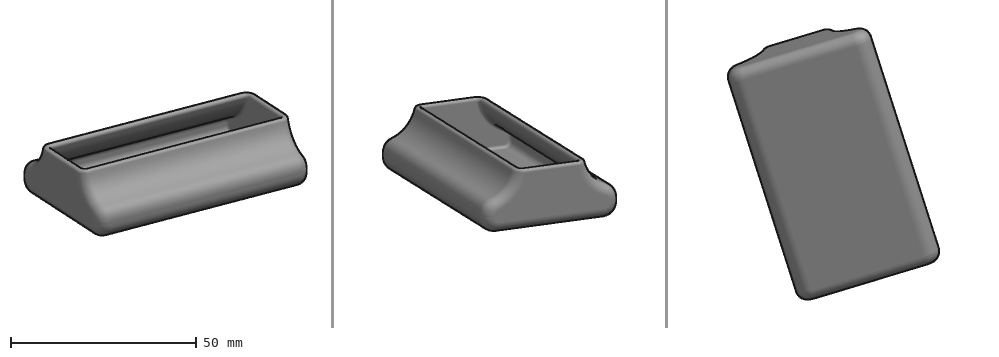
import cadquery as cq
import math

length = 67.5
width = 40.4
height = 17.1
wall = 2.0

foot_radius = 4.2
upper_foot_center_z = 5.3
flank_radius = 10.1
flank_center_z = 18.85

end_radius = 3.0
outer_rim_radius = 0.9
inner_rim_radius = 0.9

foot_center_x = width / 2 - foot_radius
flank_rise = flank_center_z - upper_foot_center_z
center_distance = foot_radius + flank_radius
flank_center_x = foot_center_x + math.sqrt(center_distance**2 - flank_rise**2)
tangent_angle = math.atan2(flank_rise, flank_center_x - foot_center_x)


def arc_point(center_x, center_z, radius, angle):
    """Point on a circle in the XZ section."""
    return (center_x + radius * math.cos(angle), center_z + radius * math.sin(angle))


def rounded_body(inset):
    """Solid of the section moved inward by inset, with rounded end edges and a plain top."""
    foot_r = foot_radius - inset
    flank_r = flank_radius + inset
    side_x = width / 2 - inset
    top_drop = flank_center_z - height
    top_x = flank_center_x - math.sqrt(flank_r**2 - top_drop**2)
    top_angle = math.pi + math.asin(top_drop / flank_r)
    flank_start_angle = math.pi + tangent_angle

    lower_mid = arc_point(foot_center_x, foot_radius, foot_r, -math.pi / 4)
    upper_mid = arc_point(foot_center_x, upper_foot_center_z, foot_r, tangent_angle / 2)
    blend = arc_point(foot_center_x, upper_foot_center_z, foot_r, tangent_angle)
    flank_mid_angle = (flank_start_angle + top_angle) / 2
    flank_mid = arc_point(flank_center_x, flank_center_z, flank_r, flank_mid_angle)

    half_section = (
        cq.Workplane("XZ", origin=(0, length / 2 - inset, 0))
        .moveTo(0, inset)
        .lineTo(foot_center_x, inset)
        .threePointArc(lower_mid, (side_x, foot_radius))
        .lineTo(side_x, upper_foot_center_z)
        .threePointArc(upper_mid, blend)
        .threePointArc(flank_mid, (top_x, height))
        .lineTo(0, height)
        .close()
    )
    half = half_section.extrude(length - 2 * inset)
    body = half.union(half.mirror("YZ")).clean()
    end_edges = body.faces("<Y or >Y").edges()
    top_edges = body.faces(">Z").edges()
    return end_edges.newObject(
        [edge for edge in end_edges.vals() if not any(edge.isSame(top) for top in top_edges.vals())]
    ).fillet(end_radius - inset)


outer = rounded_body(0)
cavity = rounded_body(wall)
tray = outer.cut(cavity)

rim = tray.faces(">Z")
outer_rim = rim.val().outerWire().Edges()
tray = tray.newObject(outer_rim).fillet(outer_rim_radius)
inner_rim = tray.faces(">Z").val().innerWires()[0].Edges()
result = tray.newObject(inner_rim).fillet(inner_rim_radius)